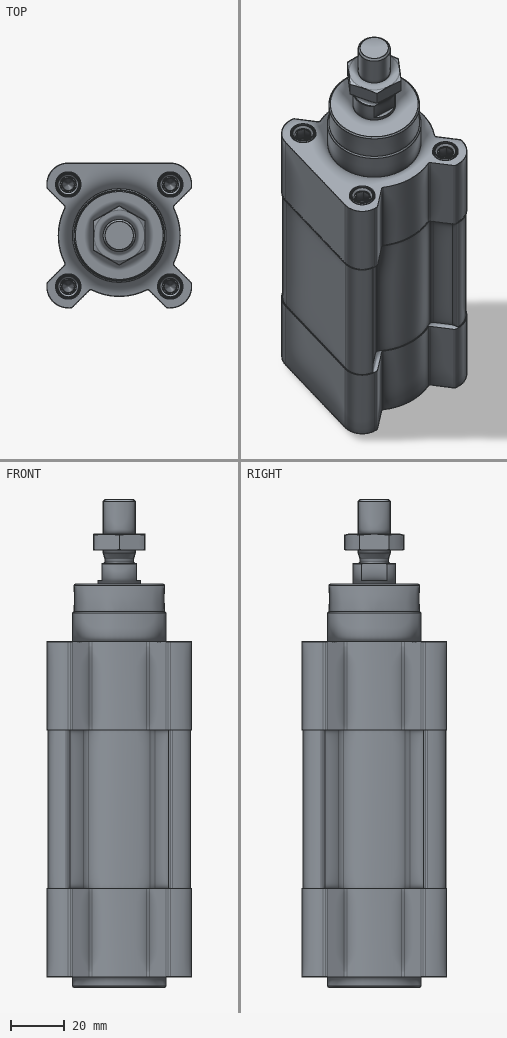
import cadquery as cq
import math

rear_collar_height = 4.0
cap_height = 33.0
tube_height = 59.1
tube_base = rear_collar_height + cap_height
front_cap_base = tube_base + tube_height
front_cap_top = front_cap_base + cap_height
front_collar_top = 140.0
nose_top = 150.5

cap_side = 54.0
cap_barrel_radius = 22.7
bolt_spacing = 38.0
bolt_offset = bolt_spacing / 2
lobe_half_width = 6.5
lobe_inner_fillet = 1.0
lobe_outer_fillet = 1.1
tube_side = 53.3
tube_barrel_radius = 22.4
tube_neck_half_width = 4.4
tube_neck_fillet = 1.5
tube_outer_fillet = 0.7
tube_flare_start = 30.4
tube_flare_slope = 0.35
lobe_reach = 40.0
edge_tolerance = 0.02
web_half_width = 21.0
corner_angles = [45, 135, 225, 315]

collar_radius = 35.0 / 2
collar_chamfer = 0.5
nose_radius = 17.0
nose_waist_radius = 16.7
nose_chamfer = 0.5

bolt_recess_diameter = 9.5
bolt_head_diameter = 8.7
bolt_face_diameter = 8.0
bolt_groove_depth = 1.1
bolt_head_bevel = (bolt_head_diameter - bolt_face_diameter) / 2
socket_mouth_diameter = 7.6
socket_throat_diameter = 6.0
socket_flat_width = 5.0
socket_corner_diameter = socket_flat_width / math.cos(math.pi / 6)
socket_turn = 15
socket_depth = 5.5
socket_drill_diameter = 4.5
drill_point_angle = 118

rod_base = front_cap_base
rod_radius = 16.0 / 2
rod_shoulder = 158.0
rod_shoulder_chamfer = 0.2
rod_flat_width = 13.0
rod_flat_base = 151.7
undercut_radius = 10.7 / 2
undercut_top = 159.9
undercut_fillet = 0.5
thread_radius = 12.0 / 2
thread_base = 161.9
thread_end_chamfer = 0.7
rod_top = 181.9

nut_base = 163.0
nut_height = 6.0
nut_flat_width = 19.1
nut_turn = 30
nut_corner_diameter = nut_flat_width / math.cos(math.pi / 6)
nut_top_face_diameter = 19.0
nut_bottom_face_diameter = 20.2
nut_bevel_angle = 15


def cylinder(radius, base, height):
    return cq.Workplane("XY").workplane(offset=base).circle(radius).extrude(height)


def upward_cone(bottom_radius, top_radius, base, height):
    return cq.Workplane(cq.Solid.makeCone(bottom_radius, top_radius, height, cq.Vector(0, 0, base)))


def rounded_square(side, base, height):
    """Square prism whose corners are rounded about the bolt axes."""
    prism = cq.Workplane("XY").workplane(offset=base).rect(side, side).extrude(height)
    return prism.edges("|Z").fillet(side / 2 - bolt_offset)


def lobed_prism(lobe_half_outline, side, barrel_radius, base, height):
    """Barrel with four corner lobes and a flat web that closes its +Y side."""
    outline = lobe_half_outline + [(x, -y) for x, y in reversed(lobe_half_outline)]
    lobe = cq.Workplane("XY").workplane(offset=base).polyline(outline).close().extrude(height)
    body = cylinder(barrel_radius, base, height)
    square = rounded_square(side, base, height)
    for angle in corner_angles:
        body = body.union(lobe.rotate((0, 0, 0), (0, 0, 1), angle).intersect(square))
    web_base = barrel_radius / math.sqrt(2)
    web_depth = side / 2 - web_base
    web = (
        cq.Workplane("XY", origin=(0, web_base + web_depth / 2, base))
        .rect(2 * web_half_width, web_depth)
        .extrude(height)
    )
    return body.union(web.intersect(square))


def upright_edges_at(body, distance):
    """Vertical edges lying at the given distance from the Z axis."""
    return body.edges("|Z").filter(
        lambda edge: abs(math.hypot(edge.Center().x, edge.Center().y) - distance) < edge_tolerance
    )


def make_cap(base):
    outline = [(0, lobe_half_width), (lobe_reach, lobe_half_width)]
    cap = lobed_prism(outline, cap_side, cap_barrel_radius, base, cap_height)
    cap = upright_edges_at(cap, cap_barrel_radius).fillet(lobe_inner_fillet)
    half_side = cap_side / 2
    corner_distance = math.hypot(half_side, half_side - lobe_half_width * math.sqrt(2))
    return upright_edges_at(cap, corner_distance).fillet(lobe_outer_fillet)


def flare_tip_distance():
    """Distance from the axis to the point where a lobe's widening side meets its rounded corner."""
    corner_radius = tube_side / 2 - bolt_offset
    corner_center = bolt_offset * math.sqrt(2)
    center_half_width = tube_neck_half_width + tube_flare_slope * (corner_center - tube_flare_start)
    flare_angle = math.atan(tube_flare_slope)
    gap_to_flare = center_half_width * math.cos(flare_angle)
    run_along_flare = math.sqrt(corner_radius**2 - gap_to_flare**2) - gap_to_flare * math.tan(flare_angle)
    tip_along = corner_center + run_along_flare * math.cos(flare_angle)
    tip_half_width = center_half_width + run_along_flare * math.sin(flare_angle)
    return math.hypot(tip_along, tip_half_width)


def make_tube():
    reach_half_width = tube_neck_half_width + tube_flare_slope * (lobe_reach - tube_flare_start)
    outline = [
        (0, tube_neck_half_width),
        (tube_flare_start, tube_neck_half_width),
        (lobe_reach, reach_half_width),
    ]
    tube = lobed_prism(outline, tube_side, tube_barrel_radius, tube_base, tube_height)
    tube = upright_edges_at(tube, tube_barrel_radius).fillet(tube_neck_fillet)
    return upright_edges_at(tube, flare_tip_distance()).fillet(tube_outer_fillet)


def make_front_collar_and_nose():
    """Collar and, above it, a nose with a slightly hollow side."""
    return (
        cq.Workplane("XZ")
        .moveTo(0, front_cap_top)
        .lineTo(collar_radius, front_cap_top)
        .lineTo(collar_radius, front_collar_top - collar_chamfer)
        .lineTo(nose_radius, front_collar_top)
        .threePointArc(
            (nose_waist_radius, (front_collar_top + nose_top - nose_chamfer) / 2),
            (nose_radius, nose_top - nose_chamfer),
        )
        .lineTo(nose_radius - nose_chamfer, nose_top)
        .lineTo(0, nose_top)
        .close()
        .revolve(360, (0, 0), (0, 1))
    )


def make_bolt_recesses():
    """Cutters for the space round a bolt head and inside its hexagon socket, on the Z axis."""
    groove = (
        cq.Workplane("XZ")
        .moveTo(bolt_face_diameter / 2, front_cap_top)
        .lineTo(bolt_head_diameter / 2, front_cap_top - bolt_head_bevel)
        .lineTo(bolt_head_diameter / 2, front_cap_top - bolt_groove_depth)
        .lineTo(bolt_recess_diameter / 2, front_cap_top - bolt_groove_depth)
        .lineTo(bolt_recess_diameter / 2, front_cap_top)
        .close()
        .revolve(360, (0, 0), (0, 1))
    )
    socket_floor = front_cap_top - socket_depth
    socket = (
        cq.Workplane("XY")
        .workplane(offset=socket_floor)
        .polygon(6, socket_corner_diameter)
        .extrude(socket_depth)
        .rotate((0, 0, 0), (0, 0, 1), socket_turn)
    )
    drill_radius = socket_drill_diameter / 2
    drill_point_depth = drill_radius / math.tan(math.radians(drill_point_angle / 2))
    drill_point = upward_cone(0, drill_radius, socket_floor - drill_point_depth, drill_point_depth)
    mouth_depth = (socket_mouth_diameter - socket_throat_diameter) / 2
    mouth = upward_cone(
        socket_throat_diameter / 2, socket_mouth_diameter / 2, front_cap_top - mouth_depth, mouth_depth
    )
    return groove, socket.union(drill_point).union(mouth)


def make_housing():
    rear_collar = cylinder(collar_radius, 0, rear_collar_height).faces("<Z").chamfer(collar_chamfer)
    housing = rear_collar.union(make_cap(rear_collar_height)).union(make_tube())
    housing = housing.union(make_cap(front_cap_base)).union(make_front_collar_and_nose())
    for recess in make_bolt_recesses():
        for x in (-bolt_offset, bolt_offset):
            for y in (-bolt_offset, bolt_offset):
                housing = housing.cut(recess.translate((x, y, 0)))
    return housing.cut(cylinder(rod_radius, rod_base, nose_top - rod_base))


def make_rod():
    rod = (
        cq.Workplane("XZ")
        .moveTo(0, rod_base)
        .lineTo(rod_radius, rod_base)
        .lineTo(rod_radius, rod_shoulder - rod_shoulder_chamfer)
        .lineTo(rod_radius - rod_shoulder_chamfer, rod_shoulder)
        .lineTo(undercut_radius + undercut_fillet, rod_shoulder)
        .radiusArc((undercut_radius, rod_shoulder + undercut_fillet), undercut_fillet)
        .lineTo(undercut_radius, undercut_top)
        .lineTo(thread_radius, thread_base)
        .lineTo(thread_radius, rod_top - thread_end_chamfer)
        .lineTo(thread_radius - thread_end_chamfer, rod_top)
        .lineTo(0, rod_top)
        .close()
        .revolve(360, (0, 0), (0, 1))
    )
    flat_height = rod_shoulder - rod_flat_base
    flat_band = cylinder(rod_radius, rod_flat_base, flat_height)
    kept_core = (
        cq.Workplane("XY")
        .workplane(offset=rod_flat_base)
        .rect(rod_flat_width, 2 * rod_radius)
        .extrude(flat_height)
    )
    return rod.cut(flat_band.cut(kept_core))


def make_nut():
    hexagon = (
        cq.Workplane("XY")
        .workplane(offset=nut_base)
        .polygon(6, nut_corner_diameter)
        .extrude(nut_height)
        .rotate((0, 0, 0), (0, 0, 1), nut_turn)
    )
    corner_radius = nut_corner_diameter / 2
    nut_top = nut_base + nut_height
    bevel_slope = math.tan(math.radians(nut_bevel_angle))
    bottom_bevel = (corner_radius - nut_bottom_face_diameter / 2) * bevel_slope
    top_bevel = (corner_radius - nut_top_face_diameter / 2) * bevel_slope
    envelope = (
        cq.Workplane("XZ")
        .moveTo(0, nut_base)
        .lineTo(nut_bottom_face_diameter / 2, nut_base)
        .lineTo(corner_radius, nut_base + bottom_bevel)
        .lineTo(corner_radius, nut_top - top_bevel)
        .lineTo(nut_top_face_diameter / 2, nut_top)
        .lineTo(0, nut_top)
        .close()
        .revolve(360, (0, 0), (0, 1))
    )
    return hexagon.intersect(envelope).cut(cylinder(thread_radius, nut_base, nut_height))


housing = make_housing()
rod = make_rod()
nut = make_nut()

result = cq.Compound.makeCompound([housing.val(), rod.val(), nut.val()])